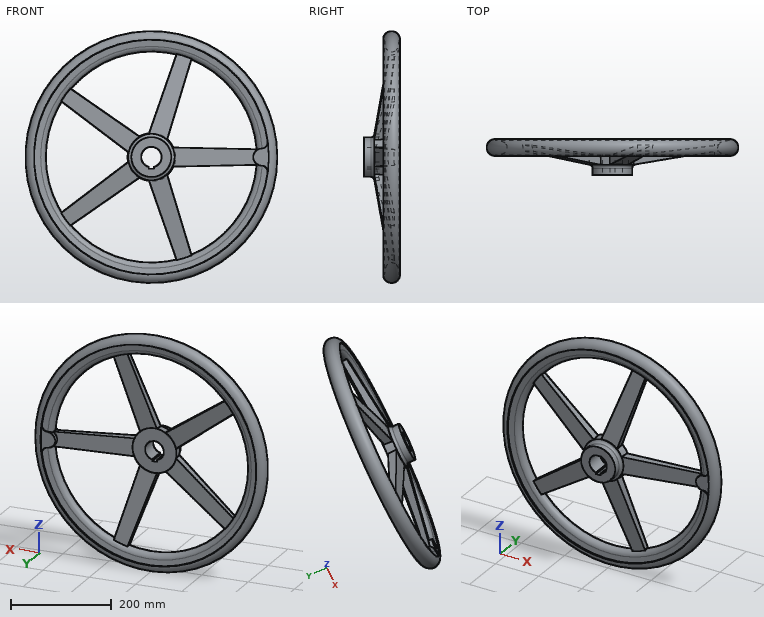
import cadquery as cq
import math


outer_radius = 250.0
grip_radius = 17.0
seam_radius = outer_radius - grip_radius
seam_step = 2.5
band_outer_radius = 232.5
band_inner_radius = 220.0
band_slope = 9.5
rim_inner_radius = 209.0
band_half_width = grip_radius - seam_step
band_drop = (band_outer_radius - band_inner_radius) * math.tan(math.radians(band_slope))
band_inner_half_width = band_half_width - band_drop

hub_front = -55.0
hub_length = 41.0
hub_back = hub_front + hub_length
neck_radius = 39.5
hub_fillet = 6.5
shoulder_radius = neck_radius + hub_fillet
hub_back_radius = 47.5
shoulder_y = -34.5

bore_radius = 20.0
key_width = 10.0
key_depth = 23.0

spoke_count = 5
spoke_root_radius = 41.0
spoke_tip_radius = band_inner_radius
spoke_root_width = 38.5
spoke_tip_width = 31.0
spoke_root_front = shoulder_y
spoke_tip_front = -4.5
spoke_root_back = -15.5
spoke_tip_back = 6.5

boss_centre = 219.0
boss_radius = 17.0
boss_flare_radius = 11.0


def make_rim():
    """Grip, stepped sloping bands and rounded inner side, revolved about Y."""
    profile = (
        cq.Workplane("XY")
        .moveTo(seam_radius, -grip_radius)
        .threePointArc((outer_radius, 0), (seam_radius, grip_radius))
        .lineTo(band_outer_radius, band_half_width)
        .lineTo(band_inner_radius, band_inner_half_width)
        .threePointArc((rim_inner_radius, 0), (band_inner_radius, -band_inner_half_width))
        .lineTo(band_outer_radius, -band_half_width)
        .close()
    )
    return profile.revolve(360, (0, 0, 0), (0, 1, 0))


def make_hub():
    """Neck, concave fillet and slightly conical body, revolved about Y."""
    arc_offset = hub_fillet * (1 - math.sqrt(0.5))
    profile = (
        cq.Workplane("XY")
        .moveTo(0, hub_front)
        .lineTo(neck_radius, hub_front)
        .lineTo(neck_radius, shoulder_y - hub_fillet)
        .threePointArc((neck_radius + arc_offset, shoulder_y - arc_offset), (shoulder_radius, shoulder_y))
        .lineTo(hub_back_radius, hub_back)
        .lineTo(0, hub_back)
        .close()
    )
    return profile.revolve(360, (0, 0, 0), (0, 1, 0))


def make_spoke():
    """Spoke along +X: its side outline in XY, trimmed to a tapering width in XZ."""
    side = (
        cq.Workplane("XY")
        .polyline([
            (spoke_root_radius, spoke_root_front),
            (spoke_tip_radius, spoke_tip_front),
            (spoke_tip_radius, spoke_tip_back),
            (spoke_root_radius, spoke_root_back),
        ])
        .close()
        .extrude(spoke_root_width, both=True)
    )
    face = (
        cq.Workplane("XZ")
        .polyline([
            (spoke_root_radius, -spoke_root_width / 2),
            (spoke_tip_radius, -spoke_tip_width / 2),
            (spoke_tip_radius, spoke_tip_width / 2),
            (spoke_root_radius, spoke_root_width / 2),
        ])
        .close()
        .extrude(outer_radius, both=True)
    )
    return side.intersect(face)


def make_boss():
    """Round boss close to the inner edge of the band, flaring out where it reaches the grip."""
    flare_z = boss_radius + boss_flare_radius
    diagonal = boss_flare_radius * math.sqrt(0.5)
    flare_end = boss_centre + boss_flare_radius
    outline = (
        cq.Workplane("XZ", origin=(0, band_half_width, 0))
        .moveTo(boss_centre, boss_radius)
        .threePointArc((boss_centre - boss_radius, 0), (boss_centre, -boss_radius))
        .threePointArc((boss_centre + diagonal, diagonal - flare_z), (flare_end, -flare_z))
        .lineTo(seam_radius, -flare_z)
        .lineTo(seam_radius, flare_z)
        .lineTo(flare_end, flare_z)
        .threePointArc((boss_centre + diagonal, flare_z - diagonal), (boss_centre, boss_radius))
        .close()
    )
    return outline.extrude(2 * band_half_width)


def make_bore():
    """Through bore with a keyway on its -Z side."""
    start = cq.Workplane("XZ", origin=(0, hub_back, 0))
    keyway = start.center(0, -key_depth / 2).rect(key_width, key_depth).extrude(hub_length)
    return start.circle(bore_radius).extrude(hub_length).union(keyway)


result = make_rim().union(make_hub()).union(make_boss())
spoke = make_spoke()
for index in range(spoke_count):
    result = result.union(spoke.rotate((0, 0, 0), (0, 1, 0), index * 360 / spoke_count))
result = result.cut(make_bore())